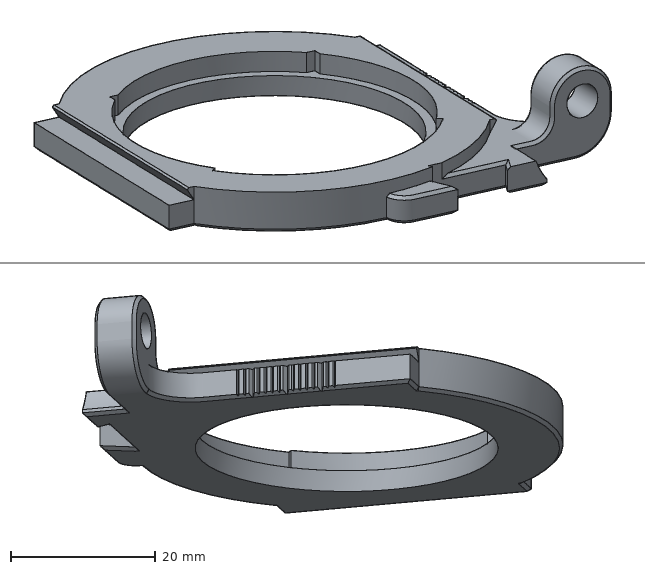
import cadquery as cq
import math

total_width = 62.65
total_length = 68.25
total_height = 13.5

edge_chamfer = 0.5
plate_height = 4.0
ring_height = 6.0

ring_radius = 29.95
bore_diameter = 42.0
seat_radius = 22.5
seat_relief_radius = 23.5
seat_floor = ring_height / 2
relief_half_angle = 52.6
key_notch_corner = 16.6

bar_half_width = 18.0
bar_reach = 28.0
rail_half_width = 25.05
neck_half_width = 23.95
rail_bevel = 0.3

notch_pitch = 1.0
notches_each_side = 7
notches_per_major = 5
minor_notch_width = 0.4
minor_notch_depth = 0.2
major_notch_width = 0.8
major_notch_depth = 0.6

knuckle_width = 6.0
knuckle_left = bar_half_width
knuckle_radius = 5.0
hinge_hole_diameter = 5.0
hinge_height = total_height - knuckle_radius
hinge_y = total_length - bar_reach - knuckle_radius
knuckle_heel_radius = 6.0
knuckle_root_radius = 3.0
web_radius = 6.0

hook_right = 30.25
hook_back = 25.8
swing_clearance_radius = 12.15
hook_tip_y = 19.4
flank_angle = 25
gap_wall_x = 28.25
latch_right = total_width - ring_radius
latch_tip_y = 9.9
latch_corner_radius = 3.0
flank_slope = math.tan(math.radians(flank_angle))
hook_root_y = hook_tip_y + (hook_right - gap_wall_x) * flank_slope
latch_root_y = latch_tip_y - (latch_right - gap_wall_x) * flank_slope

buried_x = 25.25


def chamfer_underside(solid):
    return solid.faces("<Z").edges().chamfer(edge_chamfer)


def make_ring():
    """Disc with flat front and back, cleared where the gap bites into it."""
    flats = cq.Workplane("XY").rect(2 * ring_radius, 2 * neck_half_width).extrude(ring_height)
    gap = (
        cq.Workplane("XY")
        .moveTo(gap_wall_x, latch_root_y)
        .lineTo(latch_right, latch_tip_y)
        .lineTo(latch_right, hook_root_y)
        .lineTo(gap_wall_x, hook_root_y)
        .close()
        .extrude(ring_height)
    )
    disc = cq.Workplane("XY").circle(ring_radius).extrude(ring_height)
    return chamfer_underside(disc.intersect(flats).cut(gap))


def make_bars():
    """Low slab reaching out as a bar in front of and behind the ring."""
    bar = cq.Workplane("XY").rect(2 * bar_half_width, 2 * bar_reach).extrude(plate_height)
    return chamfer_underside(bar)


def make_rails():
    """Undercut rail edges above the bars, bevelled along the top."""
    return (
        cq.Workplane("YZ")
        .moveTo(-neck_half_width, plate_height)
        .lineTo(neck_half_width, plate_height)
        .lineTo(rail_half_width, ring_height - rail_bevel)
        .lineTo(rail_half_width - rail_bevel, ring_height)
        .lineTo(-rail_half_width + rail_bevel, ring_height)
        .lineTo(-rail_half_width, ring_height - rail_bevel)
        .close()
        .extrude(bar_half_width, both=True)
    )


def make_web():
    """Curved web that carries the back bar into the left face of the knuckle."""
    web_end_y = bar_reach + web_radius
    knuckle_middle = knuckle_left + knuckle_width / 2
    web = (
        cq.Workplane("XY")
        .moveTo(0, 0)
        .lineTo(0, bar_reach)
        .lineTo(knuckle_left - web_radius, bar_reach)
        .radiusArc((knuckle_left, web_end_y), -web_radius)
        .lineTo(knuckle_middle, web_end_y)
        .lineTo(knuckle_middle, 0)
        .close()
        .extrude(plate_height)
    )
    return chamfer_underside(web)


def make_hook():
    """Plate behind the gap, hollowed at the back around the hinge axis, with chamfered gap edges."""
    hook_left = knuckle_left
    hook = (
        cq.Workplane("XY")
        .moveTo(hook_left, hook_back)
        .lineTo(hook_right, hook_back)
        .lineTo(hook_right, hook_tip_y)
        .lineTo(gap_wall_x, hook_root_y)
        .lineTo(gap_wall_x, latch_root_y)
        .lineTo(buried_x, latch_root_y)
        .close()
        .extrude(plate_height)
    )
    hook = chamfer_underside(hook)
    swing_clearance = (
        cq.Workplane("YZ", origin=(hook_left, hinge_y, hinge_height))
        .circle(swing_clearance_radius)
        .extrude(hook_right - hook_left)
    )
    hook = hook.cut(swing_clearance)
    wall_middle = (gap_wall_x, (hook_root_y + latch_root_y) / 2, plate_height)
    flank_middle = ((hook_right + gap_wall_x) / 2, (hook_tip_y + hook_root_y) / 2, plate_height)
    wall_edge = cq.selectors.NearestToPointSelector(wall_middle)
    flank_edge = cq.selectors.NearestToPointSelector(flank_middle)
    return hook.edges(wall_edge + flank_edge).chamfer(edge_chamfer)


def make_latch():
    """Tooth in front of the gap, chamfered above and below."""
    latch = (
        cq.Workplane("XY")
        .moveTo(buried_x, 0)
        .lineTo(latch_right - latch_corner_radius, 0)
        .radiusArc((latch_right, latch_corner_radius), -latch_corner_radius)
        .lineTo(latch_right, latch_tip_y)
        .lineTo(gap_wall_x, latch_root_y)
        .lineTo(buried_x, latch_root_y)
        .close()
        .extrude(plate_height)
    )
    return latch.faces("<Z or >Z").edges().chamfer(edge_chamfer)


def make_knuckle():
    """Upright hinge eye, rounded into the plate, chamfered on both sides."""
    outer_y = hinge_y + knuckle_radius
    inner_y = hinge_y - knuckle_radius
    root_y = inner_y - knuckle_root_radius
    knuckle = (
        cq.Workplane("YZ", origin=(knuckle_left, 0, 0))
        .moveTo(neck_half_width, 0)
        .lineTo(outer_y - knuckle_heel_radius, 0)
        .radiusArc((outer_y, knuckle_heel_radius), -knuckle_heel_radius)
        .lineTo(outer_y, hinge_height)
        .threePointArc((hinge_y, hinge_height + knuckle_radius), (inner_y, hinge_height))
        .lineTo(inner_y, plate_height + knuckle_root_radius)
        .radiusArc((root_y, plate_height), knuckle_root_radius)
        .lineTo(neck_half_width, plate_height)
        .close()
        .extrude(knuckle_width)
        .faces("<X or >X")
        .edges()
        .chamfer(edge_chamfer)
    )
    hole = (
        cq.Workplane("YZ", origin=(knuckle_left, hinge_y, hinge_height))
        .circle(hinge_hole_diameter / 2)
        .extrude(knuckle_width)
    )
    return knuckle.cut(hole)


def make_bore():
    """Through bore, stepped seat, wider relief on the right, two key notches on the left."""
    seat_depth = ring_height - seat_floor
    seat_plane = cq.Workplane("XY").workplane(offset=seat_floor)
    bore = cq.Workplane("XY").circle(bore_diameter / 2).extrude(ring_height)
    seat = seat_plane.circle(seat_radius).extrude(seat_depth)
    angle = math.radians(relief_half_angle)
    relief_x = seat_relief_radius * math.cos(angle)
    relief_y = seat_relief_radius * math.sin(angle)
    relief = (
        seat_plane.moveTo(0, 0)
        .lineTo(relief_x, -relief_y)
        .threePointArc((seat_relief_radius, 0), (relief_x, relief_y))
        .close()
        .extrude(seat_depth)
    )
    notches = (
        seat_plane.moveTo(-key_notch_corner / 2, 0)
        .rect(key_notch_corner, 2 * key_notch_corner)
        .extrude(seat_depth)
    )
    return bore.union(seat).union(relief).union(notches)


def make_scale_notches():
    """Row of V notches in the back edge of the bar, every fifth one larger."""
    notches = cq.Workplane("XY")
    for index in range(-notches_each_side, notches_each_side + 1):
        is_major = index % notches_per_major == 0
        width = major_notch_width if is_major else minor_notch_width
        depth = major_notch_depth if is_major else minor_notch_depth
        notch = (
            cq.Workplane("XY", origin=(index * notch_pitch, bar_reach, 0))
            .moveTo(-width / 2, 0)
            .lineTo(0, -depth)
            .lineTo(width / 2, 0)
            .close()
            .extrude(plate_height)
        )
        notches = notches.add(notch)
    return notches.combine()


result = make_ring()
for piece in (make_bars(), make_rails(), make_web(), make_hook(), make_latch(), make_knuckle()):
    result = result.union(piece)
result = result.cut(make_bore()).cut(make_scale_notches())